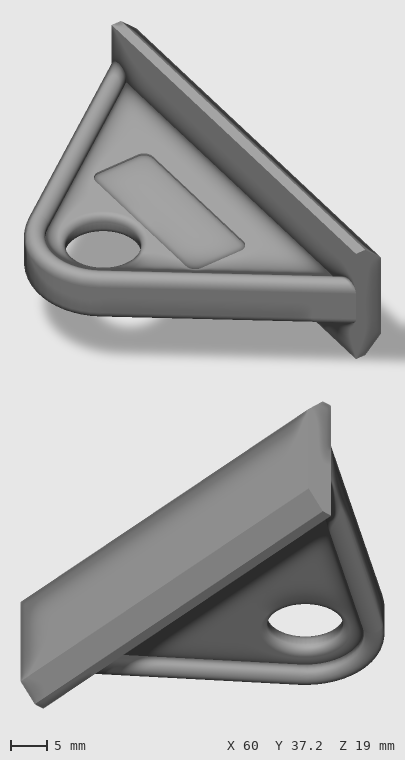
import cadquery as cq
import math

plate_length = 60.0
plate_height = 19.0
plate_thickness = 4.2
plate_chamfer = 2.65

arm_reach = 32.95
tip_radius = 11.0
bead_radius = 1.45
arm_thickness = 7.45
web_thickness = 3.25

eye_diameter = 10.5
eye_rounding = 1.0
eye_y = tip_radius - arm_reach

recess_length = 25.2
recess_width = 9.6
recess_corner_radius = 1.5
recess_depth = 0.35
recess_y = -10.8

half_length = plate_length / 2
corner_distance = math.hypot(half_length, eye_y)
normal_angle = math.asin(-eye_y / corner_distance) - math.acos(tip_radius / corner_distance)
normal_x = math.cos(normal_angle)
normal_y = math.sin(normal_angle)


overrun = plate_thickness / 2
start_x = half_length - bead_radius / normal_x - overrun * normal_y / normal_x


def bead_centreline():
    """Open path around the arm, one bead radius inside its outer edge."""
    radius = tip_radius - bead_radius
    tangent_x = radius * normal_x
    tangent_y = eye_y + radius * normal_y
    return (
        cq.Workplane("XY")
        .moveTo(-start_x, overrun)
        .lineTo(-tangent_x, tangent_y)
        .threePointArc((0, eye_y - radius), (tangent_x, tangent_y))
        .lineTo(start_x, overrun)
    )


def make_plate():
    plate = cq.Workplane("XY").box(
        plate_length, plate_thickness, plate_height, centered=(True, False, True)
    )
    return plate.faces(">Y").edges("|X").chamfer(plate_chamfer)


def make_web():
    web = bead_centreline().close().extrude(web_thickness / 2, both=True)
    eye = cq.Workplane("XY").center(0, eye_y).circle(eye_diameter / 2).extrude(web_thickness, both=True)
    web = web.cut(eye)
    eye_rims = cq.selectors.RadiusNthSelector(0)
    return web.edges("%CIRCLE").edges(eye_rims).fillet(eye_rounding)


def make_bead():
    """Upright obround bar along the arm edge, trimmed at the front of the plate."""
    profile_plane = cq.Plane(
        origin=(-start_x, overrun, 0), xDir=(0, 0, 1), normal=(-normal_y, -normal_x, 0)
    )
    profile = cq.Workplane(profile_plane).slot2D(arm_thickness, 2 * bead_radius)
    bead = profile.sweep(bead_centreline())
    behind_face = cq.Workplane("XY").box(
        2 * plate_length, plate_length, plate_height, centered=(True, False, True)
    )
    return bead.cut(behind_face)


def make_recess():
    recess = (
        cq.Workplane("XY", origin=(0, recess_y, web_thickness / 2 - recess_depth))
        .rect(recess_length, recess_width)
        .extrude(arm_thickness)
    )
    return recess.edges("|Z").fillet(recess_corner_radius)


result = make_plate().union(make_web()).union(make_bead()).cut(make_recess())